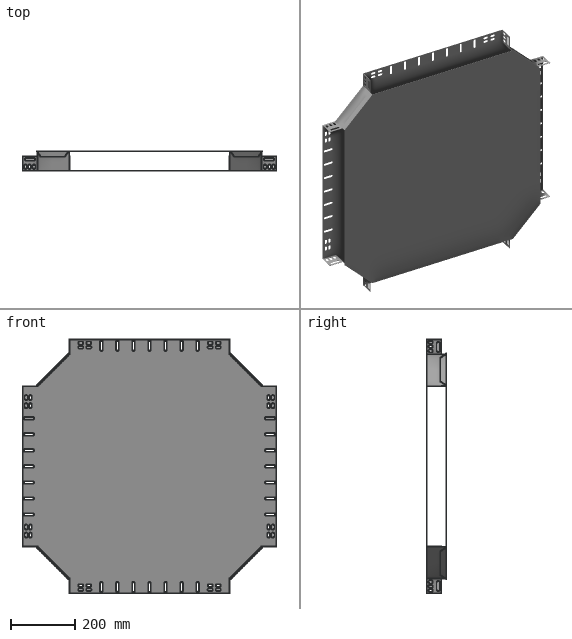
import cadquery as cq
import math

sheet = 0.8
overall_width = 791.34
overall_depth = 61.6
arm_width = 500.0
tab_length = 45.67
tab_height = 46.0
lip_height = 18.5
cover_half = 352.0
cover_edge_half = 252.0

slot_width = 7.5
long_slot_length = 31.5
short_slot_length = 15.5
tab_short_slot_length = 13.0
edge_slot_count = 7
edge_slot_pitch = 50.0
edge_slot_setback = 19.6
short_slot_columns = (189.3, 214.3)
short_slot_setbacks = (11.2, 24.2)
tab_long_slot_setback = 23.2
tab_long_slot_height = 36.0
tab_short_slot_setbacks = (8.6, 22.0, 35.6)
tab_short_slot_height = 12.6

arm_reach = overall_width / 2
arm_half = arm_width / 2
wall_reach = arm_reach - tab_length
floor_y = -overall_depth / 2
cover_top_y = overall_depth / 2
cover_bottom_y = cover_top_y - sheet
sheet_on_diagonal = sheet * math.sqrt(2)
slot_cut_reach = 5 * sheet

quarter_turns = (0, 90, 180, 270)


def extrude_outline(points, y_start, y_end):
    """Extrude a polygon of (x, z) points from y_start to y_end."""
    plane = cq.Plane(origin=(0, y_start, 0), xDir=(1, 0, 0), normal=(0, -1, 0))
    return cq.Workplane(plane).polyline(points).close().extrude(y_start - y_end)


def turned(shape, angle):
    """Turn a shape about the Y axis."""
    return shape.rotate((0, 0, 0), (0, 1, 0), angle)


def slot_cutters(plane, origin, places, length, angle):
    """Round-ended cutters through the sheet that lies in the given plane."""
    return (
        cq.Workplane(plane, origin=origin)
        .pushPoints(places)
        .slot2D(length, slot_width, angle)
        .extrude(slot_cut_reach, both=True)
    )


def mirrored_corners(first, second):
    """Outline through two (x, z) points of the first quadrant and their mirror images."""
    upper = [first, second]
    right = upper + [(x, -z) for x, z in reversed(upper)]
    return right + [(-x, -z) for x, z in right]




def tray_floor():
    """Octagonal middle crossed by two full-length strips that form the four arms."""
    along_x = extrude_outline(
        [(-arm_reach, -arm_half), (arm_reach, -arm_half), (arm_reach, arm_half), (-arm_reach, arm_half)],
        floor_y,
        floor_y + sheet,
    )
    middle = extrude_outline(
        mirrored_corners((arm_half, wall_reach), (wall_reach, arm_half)),
        floor_y,
        floor_y + sheet,
    )
    return middle.union(along_x).union(turned(along_x, 90))


def diagonal_wall():
    """Full-height wall across the corner between the +X and +Z arms."""
    outline = [
        (arm_half, wall_reach),
        (wall_reach, arm_half),
        (wall_reach - sheet_on_diagonal, arm_half),
        (arm_half, wall_reach - sheet_on_diagonal),
    ]
    return extrude_outline(outline, floor_y, cover_bottom_y)


def upright_tab(side):
    """Slotted tab on the +X arm, on its +Z side (side = 1) or its -Z side (side = -1)."""
    start = wall_reach - sheet_on_diagonal
    outer = side * arm_half
    inner = side * (arm_half - sheet)
    outline = [(start, inner), (arm_reach, inner), (arm_reach, outer), (start, outer)]
    tab = extrude_outline(outline, floor_y, floor_y + tab_height)
    origin = (arm_reach, floor_y, outer)
    long_place = (-tab_long_slot_setback, tab_long_slot_height)
    short_places = [(-setback, tab_short_slot_height) for setback in tab_short_slot_setbacks]
    long_slot = slot_cutters("XY", origin, [long_place], long_slot_length, 0)
    short_slots = slot_cutters("XY", origin, short_places, tab_short_slot_length, 90)
    return tab.cut(long_slot).cut(short_slots)


def arm_slots():
    """Cutters for the floor slots of the +X arm."""
    origin = (arm_reach, floor_y, 0)
    first = -(edge_slot_count - 1) / 2
    long_places = [(-edge_slot_setback, (first + i) * edge_slot_pitch) for i in range(edge_slot_count)]
    short_places = [
        (-setback, side * column)
        for setback in short_slot_setbacks
        for column in short_slot_columns
        for side in (-1, 1)
    ]
    long_slots = slot_cutters("XZ", origin, long_places, long_slot_length, 0)
    short_slots = slot_cutters("XZ", origin, short_places, short_slot_length, 90)
    return long_slots, short_slots


def make_tray():
    tray = tray_floor()
    for angle in quarter_turns:
        tray = tray.union(turned(diagonal_wall(), angle))
        for side in (-1, 1):
            tray = tray.union(turned(upright_tab(side), angle))
        for slots in arm_slots():
            tray = tray.cut(turned(slots, angle))
    return tray




def make_cover():
    """Octagonal plate over the tray, with a bevelled lip folded down outside each diagonal wall."""
    cover = extrude_outline(
        mirrored_corners((cover_edge_half, cover_half), (cover_half, cover_edge_half)),
        cover_bottom_y,
        cover_top_y,
    )
    lip_middle = (cover_half + cover_edge_half) / 2
    lip_base_half = (cover_half - cover_edge_half) / math.sqrt(2)
    lip_tip_half = lip_base_half - lip_height
    lip_plane = cq.Plane(origin=(lip_middle, cover_top_y, lip_middle), xDir=(1, 0, -1), normal=(-1, 0, -1))
    lip_outline = [
        (-lip_base_half, 0),
        (lip_base_half, 0),
        (lip_tip_half, lip_height),
        (-lip_tip_half, lip_height),
    ]
    lip = cq.Workplane(lip_plane).polyline(lip_outline).close().extrude(sheet)
    for angle in quarter_turns:
        cover = cover.union(turned(lip, angle))
    return cover


tray = make_tray()
cover = make_cover()
result = cq.Compound.makeCompound([tray.val(), cover.val()])